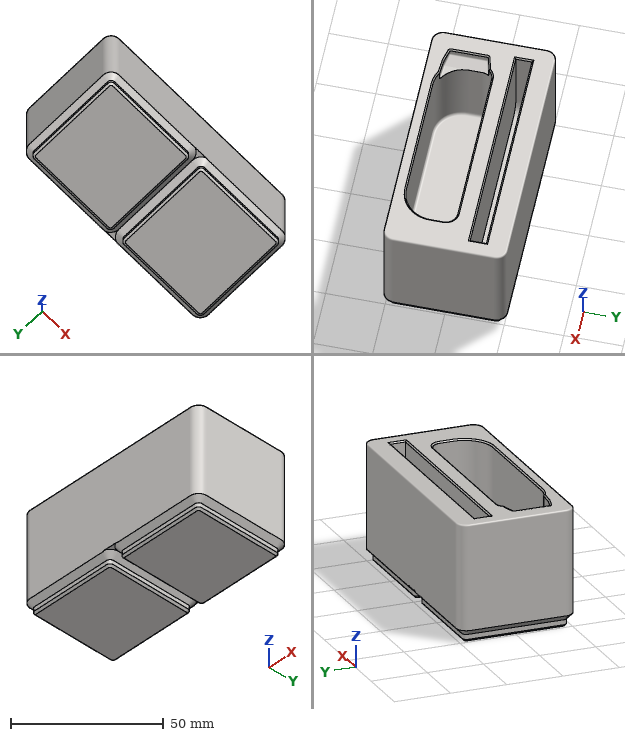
import cadquery as cq
import math


length = 83.5
width = 41.5
height = 42.0
corner_radius = 3.75
top_edge_radius = 0.6

cell_pitch = length - width
cell_clearance = 0.25
cell_radius = corner_radius + cell_clearance
foot_low_chamfer = 0.8
foot_straight = 1.75
foot_high_chamfer = 2.4
foot_flare_angle = 45
foot_height = foot_low_chamfer + foot_straight + foot_high_chamfer

rim_chamfer = 0.5
cavity_depth = 30.1
cavity_floor_z = height - cavity_depth

slot_length = 72.7
slot_width = 5.4
slot_center_y = 10.5
slot_end_radius = 4.1

pocket_length = 61.95
pocket_width = 18.5
pocket_center_y = -7.6
pocket_back_radius = 4.0
pocket_front_radius = 10.0
pocket_floor_radius = 1.0

relief_end_x = -35.15
relief_kink_x = -pocket_length / 2
relief_inner_x = relief_kink_x + pocket_front_radius
relief_end_half_width = 6.4
relief_depth = 3.7
relief_steep_draft = math.radians(15)
relief_shallow_draft = math.radians(5)
relief_edge_radius = 0.5

steep_flare = (relief_kink_x - relief_end_x) * math.tan(relief_steep_draft)
shallow_flare = (relief_inner_x - relief_kink_x) * math.tan(relief_shallow_draft)


def rounded_block(size_x, size_y, radius, base_z, block_height):
    """Upright block with rounded vertical edges."""
    return (
        cq.Workplane("XY", origin=(0, 0, base_z))
        .rect(size_x, size_y)
        .extrude(block_height)
        .edges("|Z")
        .fillet(radius)
    )


def flared_block(size, radius, base_z, flare):
    """Square rounded block that widens at 45 degrees from the given base size."""
    outline = cq.Sketch().rect(size, size).vertices().fillet(radius)
    return cq.Workplane("XY", origin=(0, 0, base_z)).placeSketch(outline).extrude(flare, taper=-foot_flare_angle)


def make_foot():
    """Stepped foot: chamfer, straight band, then a chamfer out to the full cell."""
    band_size = cell_pitch - 2 * foot_high_chamfer
    band_radius = cell_radius - foot_high_chamfer
    base_size = band_size - 2 * foot_low_chamfer
    base_radius = band_radius - foot_low_chamfer
    band_top = foot_low_chamfer + foot_straight
    base = flared_block(base_size, base_radius, 0, foot_low_chamfer)
    band = rounded_block(band_size, band_size, band_radius, foot_low_chamfer, foot_straight)
    flare = flared_block(band_size, band_radius, band_top, foot_high_chamfer)
    return base.union(band).union(flare)


def make_block():
    """Solid block on its feet, with the feet trimmed to the block outline."""
    body = rounded_block(length, width, corner_radius, foot_height, height - foot_height)
    body = body.faces(">Z").edges().fillet(top_edge_radius)
    envelope = rounded_block(length, width, corner_radius, 0, height)
    foot = make_foot()
    for side in (-1, 1):
        body = body.union(foot.translate((side * cell_pitch / 2, 0, 0)).intersect(envelope))
    return body


def make_slot():
    """Narrow slot with rounded lower ends."""
    return (
        cq.Workplane("XY", origin=(0, slot_center_y, cavity_floor_z))
        .rect(slot_length, slot_width)
        .extrude(cavity_depth)
        .edges("|Y and <Z")
        .fillet(slot_end_radius)
    )


def make_pocket():
    """Deep pocket with small back corners, large front corners and a rounded floor edge."""
    return (
        cq.Workplane("XY", origin=(0, pocket_center_y, cavity_floor_z))
        .rect(pocket_length, pocket_width)
        .extrude(cavity_depth)
        .edges("|Z and >Y")
        .fillet(pocket_back_radius)
        .edges("|Z and <Y")
        .fillet(pocket_front_radius)
        .faces("<Z")
        .edges()
        .fillet(pocket_floor_radius)
    )


def make_relief():
    """Shallow relief whose sides and floor share the same two drafts."""
    kink_half_width = relief_end_half_width + steep_flare
    inner_half_width = kink_half_width + shallow_flare
    kink_floor_z = height - relief_depth
    half_outline = [
        (relief_end_x, relief_end_half_width),
        (relief_kink_x, kink_half_width),
        (relief_inner_x, inner_half_width),
    ]
    mirrored_outline = [(x, -y) for x, y in reversed(half_outline)]
    plan = (
        cq.Workplane("XY", origin=(0, pocket_center_y, 0))
        .polyline(half_outline + mirrored_outline)
        .close()
        .extrude(height)
    )
    side_profile = [
        (relief_end_x, height),
        (relief_end_x, kink_floor_z + steep_flare),
        (relief_kink_x, kink_floor_z),
        (relief_inner_x, kink_floor_z - shallow_flare),
        (relief_inner_x, height),
    ]
    profile = cq.Workplane("XZ").polyline(side_profile).close().extrude(width / 2, both=True)
    below_rim = "not(>Z or >X)"
    all_but_kinks = "<X or (not(|Y or |Z))"
    return (
        plan.intersect(profile)
        .edges(below_rim)
        .edges(all_but_kinks)
        .fillet(relief_edge_radius)
    )


def chamfer_rims(block):
    """Chamfer every cavity opening in the top face."""
    rims = block.faces(">Z").val().innerWires()
    return block.newObject(rims).edges().chamfer(rim_chamfer)


block = make_block().cut(make_slot()).cut(make_pocket()).cut(make_relief())
result = chamfer_rims(block)